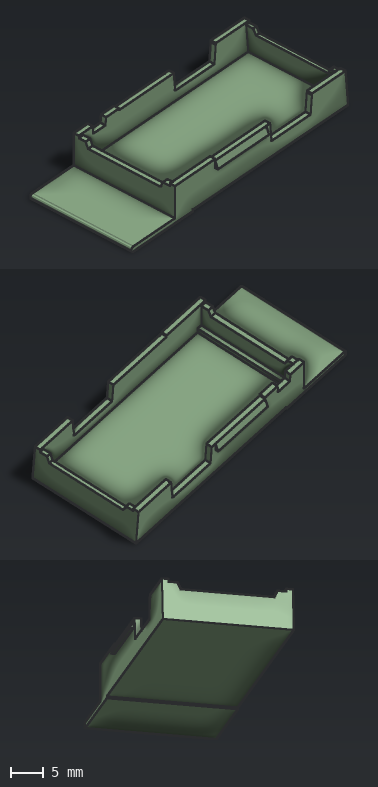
import cadquery as cq
import math


body_width = 20.6
body_length = 40.0
total_height = 7.1
wall = 1.05
floor_top = 1.3
draft = math.tan(math.radians(5))

tab_length = 10.0
tab_thickness = 1.0
tab_edge_radius = 0.45
pad_depth = 0.3
pad_length = 4.2

front_wall = 1.05
back_wall = 0.8
front_ledge_size = 0.9
end_wall_top = 5.55
post_top = 6.65
post_width = 1.4
post_slope_width = 0.5

opening_front = 21.95
opening_back = 31.65
opening_floor = 3.3
lowered_front = 9.3
lowered_top = 6.8
notch_front = 3.25
notch_back = 6.3
notch_floor = 5.65

rib_reach = 0.55
rib_front = lowered_front
rib_back = 21.1
rib_bottom = 5.4

half_width = body_width / 2
inner_half_width = half_width - wall


def extrude_across(points, x_min, x_max):
    """Solid with a (Y, Z) outline, running from x_min to x_max."""
    return cq.Workplane("YZ", origin=(x_min, 0, 0)).polyline(points).close().extrude(x_max - x_min)


def back_face_y(z):
    """Y of the leaning outer back face at height z."""
    return body_length - (z - pad_depth) * draft


def make_body():
    """Solid tray block and tab in one outline; the free end of the tab is rounded."""
    outline = [
        (-tab_length, 0),
        (pad_length, 0),
        (pad_length, pad_depth),
        (body_length, pad_depth),
        (back_face_y(total_height), total_height),
        (0, total_height),
        (0, tab_thickness),
        (-tab_length, tab_thickness),
    ]
    block = extrude_across(outline, -half_width, half_width)
    return block.faces("<Y").edges("|X").fillet(tab_edge_radius)


def make_cavity():
    """Inside of the tray: a square ledge along the front wall, and a back wall of even thickness."""
    ledge_back = front_wall + front_ledge_size
    ledge_top = floor_top + front_ledge_size
    outline = [
        (ledge_back, floor_top),
        (back_face_y(floor_top) - back_wall, floor_top),
        (back_face_y(total_height) - back_wall, total_height),
        (front_wall, total_height),
        (front_wall, ledge_top),
        (ledge_back, ledge_top),
    ]
    return extrude_across(outline, -inner_half_width, inner_half_width)


def make_end_wall_cut():
    """Lowers both end walls between the side walls, leaving a sloped post in each corner."""
    post_edge = inner_half_width - post_width
    low_edge = post_edge - post_slope_width
    outline = [
        (-inner_half_width, total_height),
        (-inner_half_width, post_top),
        (-post_edge, post_top),
        (-low_edge, end_wall_top),
        (low_edge, end_wall_top),
        (post_edge, post_top),
        (inner_half_width, post_top),
        (inner_half_width, total_height),
    ]
    return (
        cq.Workplane("XZ", origin=(0, body_length, 0))
        .polyline(outline)
        .close()
        .extrude(body_length)
    )


def make_tapered_cut(front, back, floor, x_min, x_max):
    """Slot open at the top, whose ends draw together towards its floor."""
    inset = (total_height - floor) * draft
    outline = [
        (front, total_height),
        (front + inset, floor),
        (back - inset, floor),
        (back, total_height),
    ]
    return extrude_across(outline, x_min, x_max)


def make_lowered_cut():
    """Lowers both side walls from the ribs back to the opening."""
    outline = [
        (lowered_front, lowered_top),
        (opening_back, lowered_top),
        (opening_back, total_height),
        (lowered_front, total_height),
    ]
    return extrude_across(outline, -half_width, half_width)


def make_rib(side):
    """Wedge on the outside of one side wall, widest at its bottom; side is -1 or 1."""
    outline = [
        (side * inner_half_width, rib_bottom),
        (side * (half_width + rib_reach), rib_bottom),
        (side * half_width, lowered_top),
        (side * inner_half_width, lowered_top),
    ]
    return (
        cq.Workplane("XZ", origin=(0, rib_back, 0))
        .polyline(outline)
        .close()
        .extrude(rib_back - rib_front)
    )


result = make_body()
result = result.cut(make_cavity())
result = result.cut(make_end_wall_cut())
result = result.cut(make_lowered_cut())
result = result.cut(make_tapered_cut(opening_front, opening_back, opening_floor, -half_width, half_width))
result = result.cut(make_tapered_cut(notch_front, notch_back, notch_floor, -half_width, -inner_half_width))
for rib_side in (-1, 1):
    result = result.union(make_rib(rib_side))